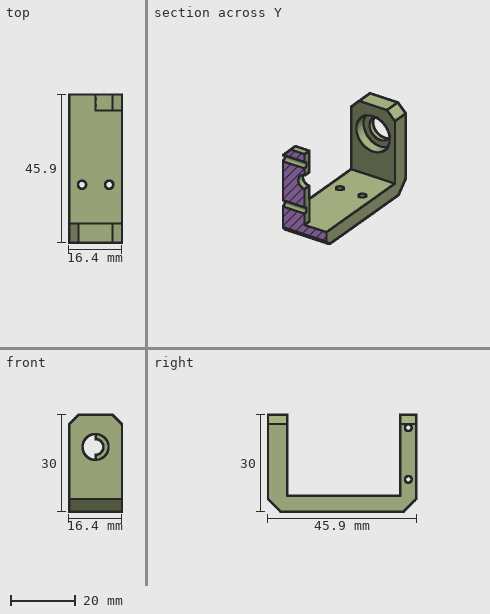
import cadquery as cq

width = 16.4
length = 45.9
height = 30.0

base_thickness = 5.0
front_wall_thickness = 6.0
post_thickness = 5.0
post_width = width / 2
bottom_chamfer = 4.0
top_chamfer = 3.0

axis_x = width / 2
axis_z = 20.0
bore_diameter = 8.0
pocket_diameter = 12.5
lip_thickness = 2.0
notch_diameter = 4.77

clamp_hole_diameter = 2.0
clamp_hole_heights = (10.0, 26.0)
clamp_hole_y = length - post_thickness / 2

mount_hole_diameter = 2.5
mount_hole_edge_distance = 4.0
mount_hole_y = 18.0


def cylinder_along_y(diameter, start_y, depth):
    """Cylinder on the shared axis, running toward +Y."""
    centre = cq.Vector(axis_x, start_y, axis_z)
    return cq.Workplane(cq.Solid.makeCylinder(diameter / 2, depth, centre, cq.Vector(0, 1, 0)))


body = (
    cq.Workplane("YZ")
    .moveTo(bottom_chamfer, 0)
    .lineTo(length - bottom_chamfer, 0)
    .lineTo(length, bottom_chamfer)
    .lineTo(length, height)
    .lineTo(length - post_thickness, height)
    .lineTo(length - post_thickness, base_thickness)
    .lineTo(front_wall_thickness, base_thickness)
    .lineTo(front_wall_thickness, height)
    .lineTo(0, height)
    .lineTo(0, bottom_chamfer)
    .close()
    .extrude(width)
)

body = body.faces(">Z").edges("|Y and (<X or >X)").chamfer(top_chamfer)

post_clearance = cq.Workplane("XY").box(
    width - post_width, post_thickness, height - base_thickness, centered=False
).translate((0, length - post_thickness, base_thickness))
body = body.cut(post_clearance)

body = body.cut(cylinder_along_y(bore_diameter, 0, front_wall_thickness))
body = body.cut(cylinder_along_y(pocket_diameter, lip_thickness, front_wall_thickness - lip_thickness))

body = body.cut(cylinder_along_y(notch_diameter, length - post_thickness, post_thickness))

clamp_holes = (
    cq.Workplane("YZ")
    .pushPoints([(clamp_hole_y, z) for z in clamp_hole_heights])
    .circle(clamp_hole_diameter / 2)
    .extrude(width)
)
body = body.cut(clamp_holes)

mount_hole_xs = (mount_hole_edge_distance, width - mount_hole_edge_distance)
mount_holes = (
    cq.Workplane("XY")
    .pushPoints([(x, mount_hole_y) for x in mount_hole_xs])
    .circle(mount_hole_diameter / 2)
    .extrude(base_thickness)
)
result = body.cut(mount_holes)